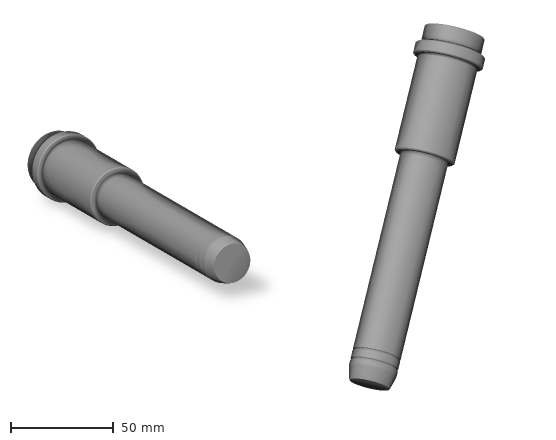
import cadquery as cq

total_length = 180.0
body_diameter = 30.0
flange_diameter = 35.0
pin_diameter = 24.0
tip_diameter = 20.2
head_chamfer = 0.4

flange_start = 9.0
flange_width = 6.0
flange_end = flange_start + flange_width
flange_chamfer = 0.5
relief_width = 0.9
relief_depth = 0.5

shoulder_station = 64.0
shoulder_chamfer = 0.5

groove_stations = (164.5, 169.4)
groove_width = 1.0
groove_depth = 0.45

nose_length = 7.0
nose_start = total_length - nose_length
nose_bulge = 0.2


def cylinder(start, length, diameter):
    """Solid cylinder along +X, beginning at the given station."""
    return cq.Workplane("YZ", origin=(start, 0, 0)).circle(diameter / 2).extrude(length)


def ring(start, width, depth, diameter):
    """Square-sided ring that cuts a groove of the given depth into a diameter."""
    return cylinder(start, width, diameter).cut(cylinder(start, width, diameter - 2 * depth))


def make_body():
    body = cylinder(0, shoulder_station, body_diameter)
    body = body.faces("<X").chamfer(head_chamfer)
    body = body.faces(">X").chamfer(shoulder_chamfer)
    for start in (flange_start - relief_width, flange_end):
        body = body.cut(ring(start, relief_width, relief_depth, body_diameter))
    return body


def make_flange():
    return cylinder(flange_start, flange_width, flange_diameter).edges().chamfer(flange_chamfer)


def make_pin():
    """Pin from the shoulder to the tip, with the grooves and the nose in its profile."""
    pin_radius = pin_diameter / 2
    tip_radius = tip_diameter / 2
    profile = cq.Workplane("XY").moveTo(shoulder_station, 0).lineTo(shoulder_station, pin_radius)
    for station in groove_stations:
        profile = (
            profile.lineTo(station, pin_radius)
            .threePointArc(
                (station + groove_width / 2, pin_radius - groove_depth),
                (station + groove_width, pin_radius),
            )
        )
    profile = (
        profile.lineTo(nose_start, pin_radius)
        .sagittaArc((total_length, tip_radius), nose_bulge)
        .lineTo(total_length, 0)
        .close()
    )
    return profile.revolve(360, (0, 0, 0), (1, 0, 0))


result = make_body().union(make_flange()).union(make_pin())